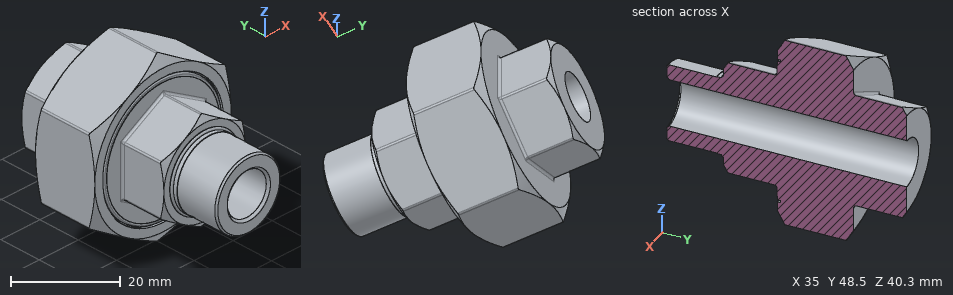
import cadquery as cq
import math


TOTAL_LENGTH = 48.5
COLLAR_START = 10.15
FRONT_HEX_START = 11.45
NUT_START = 22.3
NUT_LENGTH = 15.45
NUT_END = NUT_START + NUT_LENGTH

NUT_FLATS = 35.0
HEX_FLATS = 21.0
CORNER_ROUND = 0.5
BEVEL_ANGLE = 30.0
ROOT_FILLET = 0.5

TAIL_DIAMETER = 16.7
TAIL_CHAMFER = 0.4
COLLAR_DIAMETER = 16.9
COLLAR_FILLET = 0.5
COLLAR_RECESS_DEPTH = 0.1

BORE_DIAMETER = 10.0
BORE_MOUTH_DIAMETER = 11.05
BORE_MOUTH_DEPTH = 0.55

NUT_OPENING_DIAMETER = 31.0
FLANGE_DIAMETER = 30.4
FLANGE_EDGE_ROUND = 0.3
GAP_DEPTH = 0.6
HUB_DIAMETER = 29.0
HUB_STEP = 0.075
HUB_FACE = NUT_START - HUB_STEP

HEX_SIDES = 6


def hex_prism(flats, start, end):
    """Sharp hexagonal prism with two flats facing +X and -X."""
    corner_diameter = flats / math.cos(math.pi / HEX_SIDES)
    return (
        cq.Workplane("XY", origin=(0, 0, start))
        .transformed(rotate=(0, 0, 180 / HEX_SIDES))
        .polygon(HEX_SIDES, corner_diameter)
        .extrude(end - start)
    )


def bevel_cone(flats, face_height, direction):
    """Cone that starts at the inscribed circle of a hex face and widens along the axis."""
    face_radius = flats / 2
    wide_radius = face_radius + TOTAL_LENGTH / math.tan(math.radians(BEVEL_ANGLE))
    return cq.Workplane(
        cq.Solid.makeCone(
            face_radius,
            wide_radius,
            TOTAL_LENGTH,
            pnt=cq.Vector(0, 0, face_height),
            dir=cq.Vector(0, 0, direction),
        )
    )


def disc(diameter, start, end):
    """Plain cylinder on the axis."""
    return cq.Workplane("XY", origin=(0, 0, start)).circle(diameter / 2).extrude(end - start)


def root_fillet(flats, foot, direction):
    """Concave fillet around a hexagon with mitred corners, rising from the foot height."""
    top = foot + direction * ROOT_FILLET
    skirt = hex_prism(flats + 2 * ROOT_FILLET, min(foot, top), max(foot, top))
    hollow = (
        cq.Workplane("XZ")
        .center(flats / 2 + ROOT_FILLET, top)
        .circle(ROOT_FILLET)
        .extrude(flats, both=True)
    )
    for side in range(HEX_SIDES):
        skirt = skirt.cut(hollow.rotate((0, 0, 0), (0, 0, 1), side * 360 / HEX_SIDES))
    return skirt


def end_hex(free_face, foot):
    """Small hex: bevelled at its free face, filleted into the body at its foot."""
    direction = 1 if free_face > foot else -1
    body = hex_prism(HEX_FLATS, min(free_face, foot), max(free_face, foot))
    body = body.union(root_fillet(HEX_FLATS, foot, direction))
    body = body.edges("|Z").fillet(CORNER_ROUND)
    return body.intersect(bevel_cone(HEX_FLATS, free_face, -direction))


def union_nut():
    """Large nut, bevelled on both faces, with a ring gap around the front flange."""
    nut = hex_prism(NUT_FLATS, NUT_START, NUT_END).edges("|Z").fillet(CORNER_ROUND)
    nut = nut.intersect(bevel_cone(NUT_FLATS, NUT_START, 1))
    nut = nut.intersect(bevel_cone(NUT_FLATS, NUT_END, -1))
    nut = nut.cut(disc(NUT_OPENING_DIAMETER, NUT_START, NUT_START + GAP_DEPTH))
    flange = disc(FLANGE_DIAMETER, NUT_START, NUT_START + GAP_DEPTH)
    flange = flange.faces("<Z").edges().fillet(FLANGE_EDGE_ROUND)
    hub = disc(HUB_DIAMETER, HUB_FACE, NUT_START + GAP_DEPTH)
    return nut.union(flange).union(hub)


def male_tail():
    """Tail cylinder with a chamfered tip and a collar filleted into the front hex."""
    tail = disc(TAIL_DIAMETER, 0, COLLAR_START).faces("<Z").chamfer(TAIL_CHAMFER)
    collar_radius = COLLAR_DIAMETER / 2
    collar_foot = FRONT_HEX_START + COLLAR_RECESS_DEPTH
    collar = (
        cq.Workplane("XZ")
        .moveTo(0, COLLAR_START)
        .lineTo(collar_radius, COLLAR_START)
        .lineTo(collar_radius, collar_foot - COLLAR_FILLET)
        .radiusArc((collar_radius + COLLAR_FILLET, collar_foot), -COLLAR_FILLET)
        .lineTo(0, collar_foot)
        .close()
        .revolve(360, (0, 0, 0), (0, 1, 0))
    )
    return tail.union(collar)


def collar_recess():
    """Shallow round recess in the front hex face where the collar fillet ends."""
    diameter = COLLAR_DIAMETER + 2 * COLLAR_FILLET
    return disc(diameter, FRONT_HEX_START, FRONT_HEX_START + COLLAR_RECESS_DEPTH)


def bore():
    """Through bore with a conical mouth at the tail tip."""
    mouth = cq.Workplane(
        cq.Solid.makeCone(BORE_MOUTH_DIAMETER / 2, BORE_DIAMETER / 2, BORE_MOUTH_DEPTH)
    )
    return disc(BORE_DIAMETER, 0, TOTAL_LENGTH).union(mouth)


fitting = (
    union_nut()
    .union(end_hex(FRONT_HEX_START, HUB_FACE))
    .union(end_hex(TOTAL_LENGTH, NUT_END))
    .cut(collar_recess())
    .union(male_tail())
    .cut(bore())
)

result = fitting.rotate((0, 0, 0), (1, 0, 0), -90)